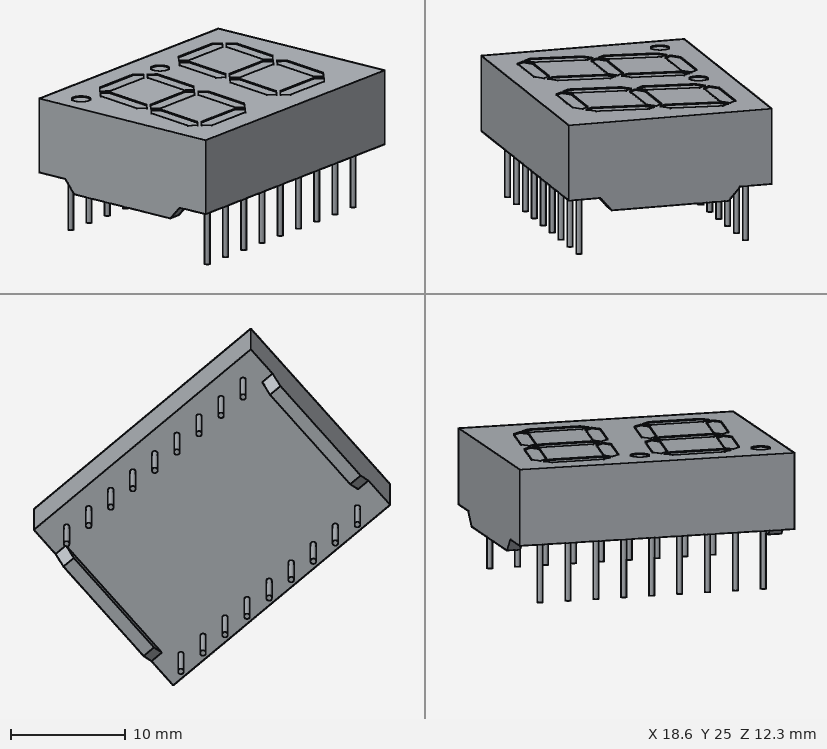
import cadquery as cq
import math

WIDTH = 18.6
LENGTH = 25.0
PIN_DEPTH = 5.48
TOTAL_HEIGHT = 12.28
BODY_HEIGHT = TOTAL_HEIGHT - PIN_DEPTH
PLATE_THICKNESS = 0.7
BLOCK_HEIGHT = BODY_HEIGHT - PLATE_THICKNESS

FOOT_THICKNESS = 1.2
FOOT_HEIGHT = 1.2
FOOT_TOP_WIDTH = 12.8
FOOT_BOTTOM_WIDTH = 10.7

PIN_DIAMETER = 0.5
PINS_PER_ROW = 9
PIN_ROW_SPAN = 20.32
PIN_ROW_SPACING = 15.25

SKEW_SLOPE = math.tan(math.radians(8.5))
DIGIT_PITCH = 11.0
FIRST_DIGIT_Y = DIGIT_PITCH / 2
COLUMN_PITCH = 6.45
ROW_PITCH = 6.55
BAR_WIDTH = 1.35
TIP_GAP = 0.25
RECESS_DEPTH = 0.1

DOT_DIAMETER = 1.65
DOT_X = -6.38
DOT_OFFSET_Y = -4.8


def make_block():
    """Plain block with its underside at Z = 0 and both feet below it."""
    block = cq.Workplane("XY").box(WIDTH, LENGTH, BLOCK_HEIGHT, centered=(True, True, False))
    for end in (-1, 1):
        block = block.union(make_foot(end))
    return block.clean()


def make_plate():
    """Face plate resting on the block."""
    top_of_block = cq.Workplane("XY", origin=(0, 0, BLOCK_HEIGHT))
    return top_of_block.box(WIDTH, LENGTH, PLATE_THICKNESS, centered=(True, True, False))


def make_foot(end):
    """Tapered foot flush with the short end on the given side of Y (-1 or 1)."""
    outline = [
        (-FOOT_TOP_WIDTH / 2, 0),
        (FOOT_TOP_WIDTH / 2, 0),
        (FOOT_BOTTOM_WIDTH / 2, -FOOT_HEIGHT),
        (-FOOT_BOTTOM_WIDTH / 2, -FOOT_HEIGHT),
    ]
    outer_face = cq.Workplane("XZ", origin=(0, end * LENGTH / 2, 0))
    return outer_face.polyline(outline).close().extrude(end * FOOT_THICKNESS)


def make_pins():
    """Both rows of round pins hanging from the underside."""
    pin_pitch = PIN_ROW_SPAN / (PINS_PER_ROW - 1)
    return (
        cq.Workplane("XY")
        .rarray(PIN_ROW_SPACING, pin_pitch, 2, PINS_PER_ROW)
        .circle(PIN_DIAMETER / 2)
        .extrude(-PIN_DEPTH)
    )


def skewed(point, digit_y):
    """Move a point of the upright digit to its skewed place on the face."""
    x, y = point
    return (x, digit_y + y - SKEW_SLOPE * x)


def bar_along_x(x, y):
    """Pointed bar running along X, centred on (x, y)."""
    tip = COLUMN_PITCH / 2 - TIP_GAP
    half = BAR_WIDTH / 2
    shoulder = tip - half
    return [
        (x - tip, y), (x - shoulder, y + half), (x + shoulder, y + half),
        (x + tip, y), (x + shoulder, y - half), (x - shoulder, y - half),
    ]


def bar_along_y(x, y):
    """Pointed bar running along Y, centred on (x, y)."""
    tip = ROW_PITCH / 2 - TIP_GAP
    half = BAR_WIDTH / 2
    shoulder = tip - half
    return [
        (x, y - tip), (x + half, y - shoulder), (x + half, y + shoulder),
        (x, y + tip), (x - half, y + shoulder), (x - half, y - shoulder),
    ]


def make_digit(digit_y):
    """Recess volumes of one digit and its dot."""
    bars = [bar_along_y(column * COLUMN_PITCH, 0) for column in (-1, 0, 1)]
    for column in (-0.5, 0.5):
        for row in (-0.5, 0.5):
            bars.append(bar_along_x(column * COLUMN_PITCH, row * ROW_PITCH))

    face = cq.Workplane("XY", origin=(0, 0, BODY_HEIGHT))
    recess = face.center(DOT_X, digit_y + DOT_OFFSET_Y).circle(DOT_DIAMETER / 2).extrude(-RECESS_DEPTH)
    for bar in bars:
        outline = [skewed(point, digit_y) for point in bar]
        recess = recess.union(face.polyline(outline).close().extrude(-RECESS_DEPTH))
    return recess


result = make_block().union(make_plate(), clean=False).union(make_pins(), clean=False)
for digit_y in (FIRST_DIGIT_Y, FIRST_DIGIT_Y - DIGIT_PITCH):
    result = result.cut(make_digit(digit_y), clean=False)